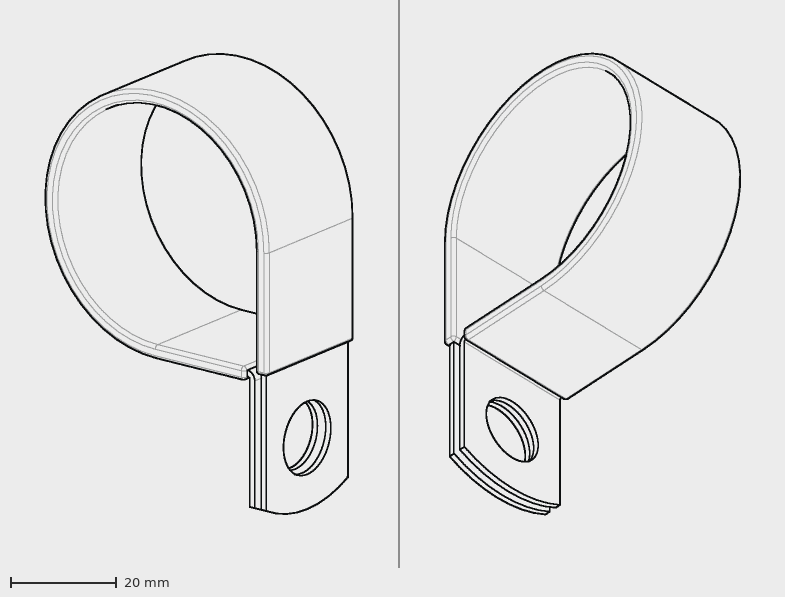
import cadquery as cq
import math


loop_radius = 26.6
sleeve_thickness = 2.8
sleeve_width = 27.0
sleeve_edge_radius = 0.7
upright_end_z = -24.65
lower_arm_end_x = 21.2

strap_thickness = 1.2
strap_width = 25.1
bend_outer_radius = 1.7
inner_leg_outer_x = 23.0

overall_height = 81.4
inner_hole_diameter = 13.6
outer_hole_diameter = 14.6
hole_z = -40.5
tab_end_sagitta = 3.0

strap_outer = loop_radius - (sleeve_thickness - strap_thickness) / 2
strap_inner = strap_outer - strap_thickness
sleeve_inner = loop_radius - sleeve_thickness
tab_bottom_z = loop_radius - overall_height
overlap = 0.8


def extrude_across(profile, width):
    """Extrude an XZ profile symmetrically about Y = 0."""
    return profile.extrude(width / 2, both=True)


def loop_midpoint(radius):
    """Middle of the three-quarter arc, at 135 degrees from +X."""
    offset = radius * math.sqrt(0.5)
    return (-offset, offset)


def make_sleeve():
    """Three-quarter ring with two tangent arms, rounded on every outer edge."""
    profile = (
        cq.Workplane("XZ")
        .moveTo(loop_radius, upright_end_z)
        .lineTo(loop_radius, 0)
        .threePointArc(loop_midpoint(loop_radius), (0, -loop_radius))
        .lineTo(lower_arm_end_x, -loop_radius)
        .lineTo(lower_arm_end_x, -sleeve_inner)
        .lineTo(0, -sleeve_inner)
        .threePointArc(loop_midpoint(sleeve_inner), (sleeve_inner, 0))
        .lineTo(sleeve_inner, upright_end_z)
        .close()
    )
    sleeve = extrude_across(profile, sleeve_width)
    arm_ends = sleeve.edges("|Y").edges(
        cq.selectors.BoxSelector(
            (lower_arm_end_x - overlap, -sleeve_width, -loop_radius - overlap),
            (loop_radius + overlap, sleeve_width, -sleeve_inner + overlap),
        )
    )
    return arm_ends.add(sleeve.faces("<Y or >Y").edges()).fillet(sleeve_edge_radius)


def make_inner_leg():
    """Strap leaving the lower arm and bending down into the inner tab."""
    inner_x = inner_leg_outer_x - strap_thickness
    bend_inner_radius = bend_outer_radius - strap_thickness
    start_x = lower_arm_end_x - overlap
    bend_x = inner_leg_outer_x - bend_outer_radius
    bend_z = -strap_inner - bend_outer_radius
    profile = (
        cq.Workplane("XZ")
        .moveTo(start_x, -strap_inner)
        .lineTo(bend_x, -strap_inner)
        .radiusArc((inner_leg_outer_x, bend_z), bend_outer_radius)
        .lineTo(inner_leg_outer_x, tab_bottom_z)
        .lineTo(inner_x, tab_bottom_z)
        .lineTo(inner_x, bend_z)
        .radiusArc((bend_x, -strap_outer), -bend_inner_radius)
        .lineTo(start_x, -strap_outer)
        .close()
    )
    return extrude_across(profile, strap_width)


def make_outer_leg():
    """Straight strap continuing down from the upright arm."""
    profile = (
        cq.Workplane("XZ")
        .moveTo(strap_inner, tab_bottom_z)
        .lineTo(strap_outer, tab_bottom_z)
        .lineTo(strap_outer, upright_end_z + overlap)
        .lineTo(strap_inner, upright_end_z + overlap)
        .close()
    )
    return extrude_across(profile, strap_width)


def make_tab_outline(hole_diameter):
    """Strap-wide block with an arched lower end and the bolt hole."""
    half_width = strap_width / 2
    shoulder_z = tab_bottom_z + tab_end_sagitta
    outline = (
        cq.Workplane("YZ")
        .moveTo(-half_width, 0)
        .lineTo(-half_width, shoulder_z)
        .threePointArc((0, tab_bottom_z), (half_width, shoulder_z))
        .lineTo(half_width, 0)
        .close()
        .extrude(loop_radius)
    )
    hole = cq.Workplane("YZ").center(0, hole_z).circle(hole_diameter / 2).extrude(loop_radius)
    return outline.cut(hole)


inner_leg = make_inner_leg().intersect(make_tab_outline(inner_hole_diameter))
outer_leg = make_outer_leg().intersect(make_tab_outline(outer_hole_diameter))
result = make_sleeve().union(inner_leg).union(outer_leg)